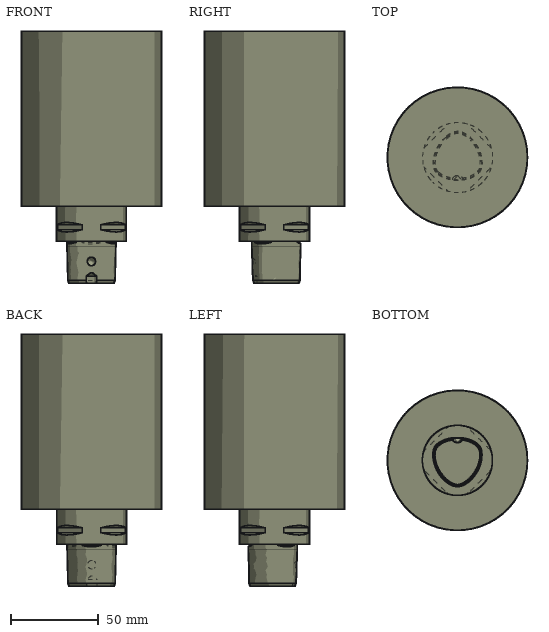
import cadquery as cq
import math

TOTAL_HEIGHT = 144
BODY_RADIUS = 40.0
FLANGE_RADIUS = 20.0
FLANGE_HEIGHT = 20.0
SHANK_LENGTH = 24.0
FLANGE_TOP = SHANK_LENGTH + FLANGE_HEIGHT

SHANK_DIAMETER = 28.1
SHANK_RADIUS = SHANK_DIAMETER / 2
LOBE_RISE = 1.0
LOBES = 3
LOBE_ANGLE = math.radians(90)
OUTLINE_POINTS = 60
COLLAR_HEIGHT = 2.7
SHANK_TAPER = 1 / 40
CHAMFER_HEIGHT = 1.7
CHAMFER_DEPTH = 0.7

RELIEF_RADIUS = 14.1
RELIEF_HEIGHT = 0.6
RELIEF_SLOPE = 1.2

SLOT_COUNT = 4
SLOT_HEIGHT = 8.0
SLOT_DEPTH = 2.6
SLOT_FLOOR_WIDTH = 2.7
SLOT_MOUTH_WIDTH = 5.5

DIMPLE_RADIUS = 2.5
DIMPLE_DEPTH = 2.5
DIMPLE_DROP = 11.5
NOTCH_RADIUS = 3.2
NOTCH_Y = -13.2
NOTCH_HEIGHT = 4.0
NOTCH_TIP = 2.7


def polygon_outline(z, radius):
    """Smooth lobed outline whose distance to its tangent is radius + rise * cos(3 * angle)."""

    def point(index):
        angle = 2 * math.pi * index / OUTLINE_POINTS
        phase = LOBES * (angle - LOBE_ANGLE)
        reach = radius + LOBE_RISE * math.cos(phase)
        slope = -LOBES * LOBE_RISE * math.sin(phase)
        x = reach * math.cos(angle) - slope * math.sin(angle)
        y = reach * math.sin(angle) + slope * math.cos(angle)
        return x, y

    points = [point(index) for index in range(OUTLINE_POINTS)]
    return cq.Workplane("XY").workplane(offset=z).spline(points, periodic=True).close().val()


def make_shank():
    collar_bottom = SHANK_LENGTH - COLLAR_HEIGHT
    taper_length = collar_bottom - CHAMFER_HEIGHT
    tip_radius = SHANK_RADIUS - SHANK_TAPER * taper_length
    sections = [
        polygon_outline(0, tip_radius - CHAMFER_DEPTH),
        polygon_outline(CHAMFER_HEIGHT, tip_radius),
        polygon_outline(collar_bottom, SHANK_RADIUS),
        polygon_outline(SHANK_LENGTH, SHANK_RADIUS),
    ]
    return cq.Workplane(cq.Solid.makeLoft(sections, True))


def make_relief():
    outer_radius = RELIEF_RADIUS + RELIEF_SLOPE
    straight_bottom = SHANK_LENGTH - RELIEF_HEIGHT
    profile = [
        (RELIEF_RADIUS, SHANK_LENGTH),
        (RELIEF_RADIUS, straight_bottom),
        (outer_radius, straight_bottom - RELIEF_SLOPE),
        (outer_radius, SHANK_LENGTH),
    ]
    return cq.Workplane("XZ").polyline(profile).close().revolve(360, (0, 0), (0, 1))


def make_slot(direction):
    floor_x = FLANGE_RADIUS - SLOT_DEPTH
    middle = SHANK_LENGTH + SLOT_HEIGHT
    profile = [
        (floor_x, middle - SLOT_FLOOR_WIDTH / 2),
        (FLANGE_RADIUS, middle - SLOT_MOUTH_WIDTH / 2),
        (FLANGE_RADIUS, middle + SLOT_MOUTH_WIDTH / 2),
        (floor_x, middle + SLOT_FLOOR_WIDTH / 2),
    ]
    slot = cq.Workplane("XZ").polyline(profile).close().extrude(FLANGE_RADIUS, both=True)
    return slot.rotate((0, 0, 0), (0, 0, 1), direction)


def make_dimple():
    face_y = LOBE_RISE - SHANK_RADIUS + SHANK_TAPER * (DIMPLE_DROP - COLLAR_HEIGHT)
    cone_scale = 2
    cone_length = cone_scale * DIMPLE_DEPTH
    apex = cq.Vector(0, face_y + DIMPLE_DEPTH, SHANK_LENGTH - DIMPLE_DROP)
    base = apex - cq.Vector(0, cone_length, 0)
    return cq.Solid.makeCone(cone_scale * DIMPLE_RADIUS, 0, cone_length, base, cq.Vector(0, 1, 0))


def make_notch():
    drill = cq.Workplane("XY").center(0, NOTCH_Y).circle(NOTCH_RADIUS).extrude(NOTCH_HEIGHT)
    tip = cq.Solid.makeCone(NOTCH_RADIUS, 0, NOTCH_TIP, cq.Vector(0, NOTCH_Y, NOTCH_HEIGHT))
    return drill.union(cq.Workplane(tip))


shank = make_shank().cut(make_relief()).cut(cq.Workplane(make_dimple())).cut(make_notch())

flange = cq.Workplane("XY").workplane(offset=SHANK_LENGTH).circle(FLANGE_RADIUS).extrude(FLANGE_HEIGHT)
for index in range(SLOT_COUNT):
    flange = flange.cut(make_slot((index + 0.5) * 360 / SLOT_COUNT))

body = cq.Workplane("XY").workplane(offset=FLANGE_TOP).circle(BODY_RADIUS).extrude(TOTAL_HEIGHT - FLANGE_TOP)

result = body.union(flange).union(shank)